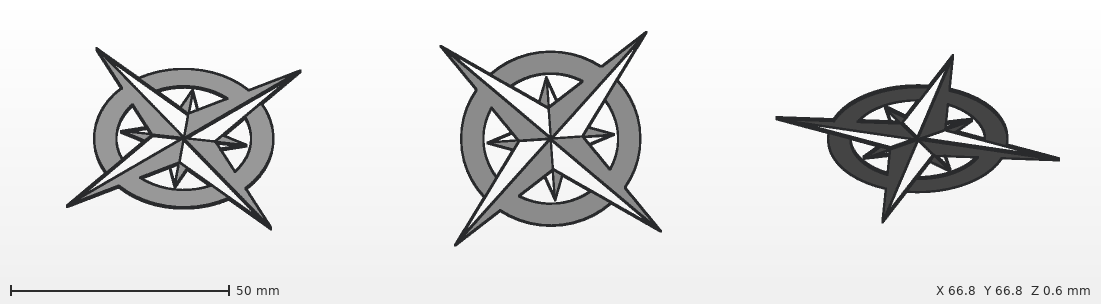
import cadquery as cq
import math

thickness = 0.6
wall = 0.1

main_tip = 33.4
main_notch = 5.2 * math.sqrt(2)
small_tip = 10.3 * math.sqrt(2)
small_notch = 5.4

ring_outer_radius = 20.6
ring_inner_radius = 15.45

point_count = 4
point_pitch = 360 / point_count
half_pitch = point_pitch / 2


def plate(outline):
    return cq.Workplane("XY").polyline(outline).close().extrude(thickness)


def star_outline(tip, notch):
    """Solid star with one point along +X, without openings."""
    corners = []
    for index in range(point_count):
        tip_angle = math.radians(index * point_pitch)
        notch_angle = tip_angle + math.radians(half_pitch)
        corners.append((tip * math.cos(tip_angle), tip * math.sin(tip_angle)))
        corners.append((notch * math.cos(notch_angle), notch * math.sin(notch_angle)))
    return plate(corners)


def half_opening(tip, notch):
    """Opening in the clockwise half of the +X point, set in from its spine and outer edge."""
    notch_offset = notch * math.sin(math.radians(half_pitch))
    edge_angle = math.atan2(notch_offset, tip - notch_offset)
    spine_end = tip - wall / math.sin(edge_angle) - wall / math.tan(edge_angle)
    rim_end = notch_offset - wall / (math.sin(edge_angle) + math.cos(edge_angle))
    return plate([(wall, -wall), (spine_end, -wall), (rim_end, -rim_end)])


def split_star(tip, notch):
    star = star_outline(tip, notch)
    opening = half_opening(tip, notch)
    for index in range(point_count):
        star = star.cut(opening.rotate((0, 0, 0), (0, 0, 1), index * point_pitch))
    return star


main_footprint = star_outline(main_tip, main_notch)
main_star = split_star(main_tip, main_notch)

small_star = split_star(small_tip, small_notch).rotate((0, 0, 0), (0, 0, 1), half_pitch)
small_points = small_star.cut(main_footprint)

ring = cq.Workplane("XY").circle(ring_outer_radius).circle(ring_inner_radius).extrude(thickness)
ring_arcs = ring.cut(main_footprint)

result = main_star.union(small_points).union(ring_arcs)